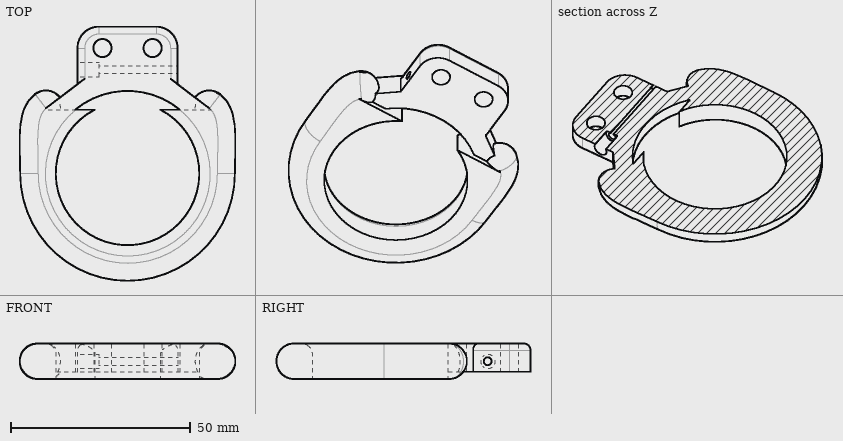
import cadquery as cq
import math

bore_radius = 20.0
rim_radius = 25.0
ring_height = 10.0
roll_radius = ring_height / 2
bore_fillet = 3.0
top_z = ring_height / 2
bottom_z = -ring_height / 2

bead_end_x = 22.8
bead_end_y = 18.2
shoulder_angle = math.radians(37.3)
shoulder_handle = 4.05
circle_handle = 8.0

relief_radius = bore_radius + bore_fillet
relief_start_y = 17.8

plate_bottom_z = -3.0
plate_height = top_z - plate_bottom_z
tab_width = 28.0
tab_end_y = 41.0
tab_corner_radius = 6.0
tab_edge_fillet = 2.0

mount_hole_diameter = 5.0
mount_hole_spacing = 14.0
mount_hole_y = 35.0
cross_hole_diameter = 2.15
cross_hole_y = 29.0
counterbore_diameter = 4.0
counterbore_depth = 6.0

shoulder_top_x = tab_width / 2 - tab_edge_fillet
shoulder_top_y = bead_end_y + (bead_end_x - shoulder_top_x) * math.tan(shoulder_angle)


def add_rim(sketch):
    """Draw the rim from the right bead end, round the front, to the left bead end."""
    handle_x = bead_end_x + shoulder_handle * math.cos(shoulder_angle)
    handle_y = bead_end_y - shoulder_handle * math.sin(shoulder_angle)
    right_side = [
        (bead_end_x, bead_end_y),
        (handle_x, handle_y),
        (rim_radius, circle_handle),
        (rim_radius, 0),
    ]
    left_side = [(-x, y) for x, y in reversed(right_side)]
    return (
        sketch.moveTo(bead_end_x, bead_end_y)
        .bezier(right_side)
        .threePointArc((0, -rim_radius), (-rim_radius, 0))
        .bezier(left_side)
    )


def box_behind(start_y, z_low, z_high):
    """Block covering everything with y above start_y, between two heights."""
    size = 4 * rim_radius
    block = cq.Workplane("XY").box(size, size, z_high - z_low, centered=(True, False, False))
    return block.translate((0, start_y, z_low))


def make_flat_body():
    """Prism inside the rim, with straight shoulders; only the plate's height behind the ring."""
    outline = add_rim(cq.Workplane("XY").workplane(offset=bottom_z))
    body = (
        outline.lineTo(-shoulder_top_x, shoulder_top_y)
        .lineTo(shoulder_top_x, shoulder_top_y)
        .close()
        .extrude(ring_height)
    )
    return body.cut(box_behind(relief_start_y, bottom_z, plate_bottom_z))


def make_bead():
    """Half-round bead swept along the rim, closed by a ball at each end."""
    path = add_rim(cq.Workplane("XY"))
    section = cq.Workplane(
        cq.Plane(
            origin=(bead_end_x, bead_end_y, 0),
            xDir=(math.sin(shoulder_angle), math.cos(shoulder_angle), 0),
            normal=(math.cos(shoulder_angle), -math.sin(shoulder_angle), 0),
        )
    )
    half_disc = (
        section.moveTo(0, -roll_radius)
        .threePointArc((roll_radius, 0), (0, roll_radius))
        .close()
    )
    bead = half_disc.sweep(path)
    for side in (-1, 1):
        ball = cq.Workplane("XY").sphere(roll_radius).translate((side * bead_end_x, bead_end_y, 0))
        bead = bead.union(ball)
    return bead


def make_tab():
    """Rounded tab behind the ring, with its top edge filleted."""
    tab = (
        cq.Workplane("XY")
        .box(tab_width, tab_end_y - relief_start_y, plate_height, centered=(True, False, False))
        .translate((0, relief_start_y, plate_bottom_z))
        .edges("|Z and >Y")
        .fillet(tab_corner_radius)
    )
    return tab.faces(">Z").edges("not <Y").fillet(tab_edge_fillet)


def make_bore():
    """Bore that flares to the relief radius through a fillet at the top."""
    fillet_start_z = top_z - bore_fillet
    arc_inset = bore_fillet * (1 - math.sqrt(0.5))
    return (
        cq.Workplane("XZ")
        .moveTo(0, bottom_z)
        .lineTo(bore_radius, bottom_z)
        .lineTo(bore_radius, fillet_start_z)
        .threePointArc((bore_radius + arc_inset, top_z - arc_inset), (relief_radius, top_z))
        .lineTo(0, top_z)
        .close()
        .revolve(360, (0, 0), (0, 1))
    )


def make_relief():
    """Wider opening at the back of the bore."""
    cylinder = cq.Workplane("XY").workplane(offset=bottom_z).circle(relief_radius).extrude(ring_height)
    return cylinder.intersect(box_behind(relief_start_y, bottom_z, top_z))


def make_holes():
    """Two vertical mounting holes and one counterbored hole across the tab."""
    holes = (
        cq.Workplane("XY")
        .workplane(offset=plate_bottom_z)
        .pushPoints([(-mount_hole_spacing / 2, mount_hole_y), (mount_hole_spacing / 2, mount_hole_y)])
        .circle(mount_hole_diameter / 2)
        .extrude(plate_height)
    )
    side = cq.Workplane("YZ", origin=(-tab_width / 2, cross_hole_y, 0))
    cross_hole = side.circle(cross_hole_diameter / 2).extrude(tab_width)
    counterbore = side.circle(counterbore_diameter / 2).extrude(counterbore_depth)
    return holes.union(cross_hole).union(counterbore)


body = make_flat_body().union(make_bead()).union(make_tab())
result = body.cut(make_bore()).cut(make_relief()).cut(make_holes())